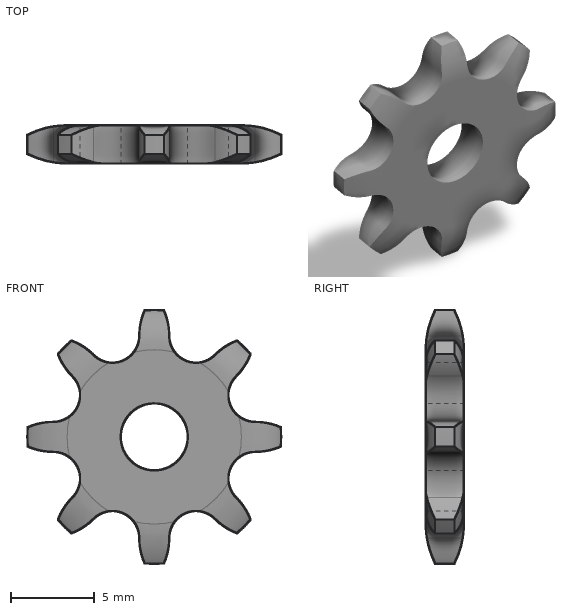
import cadquery as cq
import math

tooth_count = 8
outer_radius = 7.6
thickness = 2.3
bore_diameter = 4.0
pitch_radius = 6.54
seat_radius = 1.6
tip_half_width = 0.58
tip_thickness = 1.14
face_radius = 5.21
rim_margin = 0.15

pitch_angle = 360 / tooth_count
half_thickness = thickness / 2


def polar(radius, angle):
    """Point at a radius and an angle in degrees."""
    return (
        radius * math.cos(math.radians(angle)),
        radius * math.sin(math.radians(angle)),
    )


def rotate(point, angle):
    """Turn a point about the axis by an angle in degrees."""
    radius = math.hypot(*point)
    return polar(radius, math.degrees(math.atan2(point[1], point[0])) + angle)


def tooth_outline():
    """Toothed profile: convex flanks, arc tips and concave roller seats."""
    seat_x, seat_y = polar(pitch_radius, pitch_angle / 2)
    flank_start = (seat_x, seat_y - seat_radius)
    tip_corner = (math.sqrt(outer_radius**2 - tip_half_width**2), tip_half_width)

    run = tip_corner[0] - flank_start[0]
    drop = flank_start[1] - tip_corner[1]
    flank_radius = (run**2 + drop**2) / (2 * drop)
    half_run = run / 2
    half_run_drop = flank_radius - math.sqrt(flank_radius**2 - half_run**2)
    flank_middle = (flank_start[0] + half_run, flank_start[1] - half_run_drop)

    def mirrored(point):
        return (point[0], -point[1])

    outline = cq.Workplane("XZ").moveTo(*mirrored(flank_start))
    for tooth in range(tooth_count):
        angle = tooth * pitch_angle
        next_angle = angle + pitch_angle
        outline = (
            outline
            .threePointArc(
                rotate(mirrored(flank_middle), angle),
                rotate(mirrored(tip_corner), angle),
            )
            .threePointArc(polar(outer_radius, angle), rotate(tip_corner, angle))
            .threePointArc(rotate(flank_middle, angle), rotate(flank_start, angle))
            .threePointArc(
                polar(pitch_radius - seat_radius, angle + pitch_angle / 2),
                rotate(mirrored(flank_start), next_angle),
            )
        )
    return outline.close()


def rounded_disc():
    """Disc whose side faces curve smoothly inward towards the tooth tips."""
    tip_half_thickness = tip_thickness / 2
    rim_radius = outer_radius + rim_margin
    run = outer_radius - face_radius
    drop = half_thickness - tip_half_thickness
    side_radius = (run**2 + drop**2) / (2 * drop)

    def side_height(radius):
        offset = radius - face_radius
        return half_thickness - side_radius + math.sqrt(side_radius**2 - offset**2)

    middle_radius = (face_radius + rim_radius) / 2
    return (
        cq.Workplane("XY")
        .moveTo(0, -half_thickness)
        .lineTo(face_radius, -half_thickness)
        .threePointArc(
            (middle_radius, -side_height(middle_radius)),
            (rim_radius, -side_height(rim_radius)),
        )
        .lineTo(rim_radius, side_height(rim_radius))
        .threePointArc(
            (middle_radius, side_height(middle_radius)),
            (face_radius, half_thickness),
        )
        .lineTo(0, half_thickness)
        .close()
        .revolve(360, (0, 0, 0), (0, 1, 0))
    )


toothed_plate = tooth_outline().extrude(half_thickness, both=True)
bore = (
    cq.Workplane("XZ", origin=(0, half_thickness, 0))
    .circle(bore_diameter / 2)
    .extrude(thickness)
)

result = toothed_plate.intersect(rounded_disc()).cut(bore)